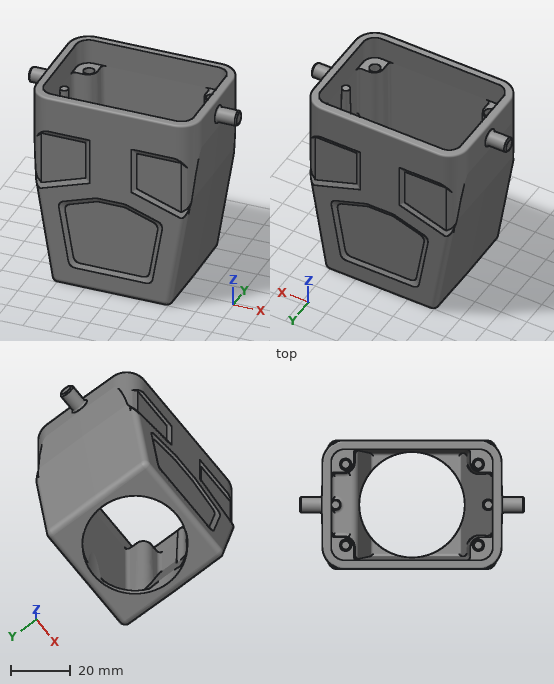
import cadquery as cq
import math

LENGTH = 75.0
HEIGHT = 72.0
DEPTH = 43.0
HALF_DEPTH = DEPTH / 2

RIM_HALF_WIDTH = 30.1
UPPER_BREAK_Z = 61.05
WAIST_HALF_WIDTH = 28.35
WAIST_Z = 42.2
BASE_HALF_WIDTH = 21.45
END_DRAFT = 0.5
EDGE_RADIUS = 2.1
BASE_CORNER_RADIUS = 2.5
CORNER_RADIUS = 7.5
RIM_RADIUS = 0.75

UPPER_BOTTOM_Z = 37.5

OVERSHOOT = 0.75
TOOL_OVERSIZE = 15.0
REACH = 0.75

RECESS_DEPTH = 0.75
WALL_RUN = 1.7
WALL_TAPER = math.degrees(math.atan(WALL_RUN / RECESS_DEPTH))
RIDGE_ANGLE = 18.8
RIDGE_SLOPE = math.tan(math.radians(RIDGE_ANGLE))

GRIP_INNER_X = 7.5
GRIP_TOP_Z = 59.1
GRIP_INNER_Z = 42.3
GRIP_FLOOR_END_X = 25.2
GRIP_CORNER_RADIUS = 1.1

PANEL_TOP_Z = 37.05
PANEL_BOTTOM_Z = 7.95
PANEL_TOP_HALF = 5.2
PANEL_SHOULDER_HALF = 19.0
PANEL_BOTTOM_HALF = 14.85
PANEL_CORNER_RADIUS = 6.75

OPENING_HALF_X = 27.0
OPENING_HALF_Y = 18.5
OPENING_RADIUS = 4.5
POST_TOP_Z = 63.0
POST_INNER_X = 19.4
POST_INNER_Y = 10.9
POST_RADIUS = 3.45
WELL_DRAFT = 1.3
FLOOR_Z = 3.0
FLOOR_LEFT_X = -13.65
FLOOR_RIGHT_X = 16.3
SHELF_Z = 44.25
SHELF_OUTER_X = -26.6
SHELF_INNER_X = -18.2
SHELF_EDGE_RADIUS = 2.4
SHELF_FOOT_RADIUS = 1.2
WELL_CORNER_RADIUS = 1.3
FLOOR_RADIUS = 0.9
CABLE_HOLE_RADIUS = 17.55

SCREW_X = 22.1
SCREW_Y = 13.5
SCREW_RADIUS = 1.4
SCREW_MOUTH_RADIUS = 1.95
SCREW_DEPTH = 15.0

RIB_X = 25.5
RIB_RADIUS = 1.4
RIB_DRAFT = 1.0

PIN_RADIUS = 2.6
PIN_Z = 65.9
PIN_CHAMFER = 0.5
PIN_ROOT_X = 30.0
PIN_ROOT_FLARE = 0.8
PIN_EMBED = 2.25


def both_faces(solid):
    """Repeat a feature of the front half on the rear half."""
    return solid.union(solid.mirror("XZ"))


def four_corners(solid):
    """Repeat a feature of the front right corner on all four corners."""
    return both_faces(solid.union(solid.mirror("YZ")))


def symmetric_points(right_points):
    """Close an outline by mirroring its right-hand points about X = 0."""
    return right_points + [(-x, z) for x, z in reversed(right_points)]


def drafted(sketch):
    """Extrude an XZ sketch both ways from the mid plane with the end-wall draft."""
    return both_faces(cq.Workplane("XZ").placeSketch(sketch).extrude(HALF_DEPTH, taper=END_DRAFT))


def polygon_sketch(points):
    return cq.Sketch().polygon(points + points[:1])


def sunk(sketch, depth):
    """Sink an XZ sketch into the front face, with sloping recess walls."""
    front = cq.Workplane("XZ", origin=(0, -HALF_DEPTH, 0))
    return front.placeSketch(sketch).extrude(-depth, taper=WALL_TAPER)


def rounded_prism(half_x, half_y, radius, bottom_z, top_z):
    base = cq.Workplane("XY", origin=(0, 0, bottom_z)).rect(2 * half_x, 2 * half_y)
    return base.extrude(top_z - bottom_z).edges("|Z").fillet(radius)


def above_ridge(inner_x, top_z, depth):
    """Wedge above the sloping lower edge of a grip recess, narrowing into the part."""
    outer_x = LENGTH

    def ridge_z(x):
        return GRIP_INNER_Z - RIDGE_SLOPE * (x - GRIP_INNER_X)

    outline = [
        (inner_x, ridge_z(inner_x)),
        (outer_x, ridge_z(outer_x)),
        (outer_x, top_z),
        (inner_x, top_z),
    ]
    return sunk(polygon_sketch(outline), depth)


def lower_shell():
    """Slanted base with rounded edges, ending in the ridges below the grip recesses."""
    outline = symmetric_points([(BASE_HALF_WIDTH, 0), (WAIST_HALF_WIDTH, WAIST_Z)])
    sketch = polygon_sketch(outline).vertices("<Y").fillet(BASE_CORNER_RADIUS)
    base = drafted(sketch)
    base = base.faces("<Y or >Y").edges("not >Z").fillet(EDGE_RADIUS)
    wedge = above_ridge(GRIP_INNER_X, HEIGHT + TOOL_OVERSIZE, CORNER_RADIUS)
    return base.cut(four_corners(wedge))


def upper_shell():
    """Upper part: a column with large round corners, narrowed below by the slanted ends."""
    face_half_width = RIM_HALF_WIDTH - HALF_DEPTH * math.tan(math.radians(END_DRAFT))
    plan = [
        (-face_half_width, -HALF_DEPTH),
        (face_half_width, -HALF_DEPTH),
        (RIM_HALF_WIDTH, 0),
        (face_half_width, HALF_DEPTH),
        (-face_half_width, HALF_DEPTH),
        (-RIM_HALF_WIDTH, 0),
    ]
    sketch = polygon_sketch(plan).vertices("<Y or >Y").fillet(CORNER_RADIUS)
    column = cq.Workplane("XY", origin=(0, 0, UPPER_BOTTOM_Z)).placeSketch(sketch)
    column = column.extrude(HEIGHT - UPPER_BOTTOM_Z).faces(">Z").edges().fillet(RIM_RADIUS)

    lower_slope = (WAIST_HALF_WIDTH - BASE_HALF_WIDTH) / WAIST_Z
    upper_slope = (RIM_HALF_WIDTH - WAIST_HALF_WIDTH) / (UPPER_BREAK_Z - WAIST_Z)
    start_z = UPPER_BOTTOM_Z - OVERSHOOT
    end_z = HEIGHT + OVERSHOOT
    silhouette = symmetric_points([
        (BASE_HALF_WIDTH + lower_slope * start_z, start_z),
        (WAIST_HALF_WIDTH, WAIST_Z),
        (WAIST_HALF_WIDTH + upper_slope * (end_z - WAIST_Z), end_z),
    ])
    return column.intersect(drafted(polygon_sketch(silhouette)))


def grip_recess():
    """Shallow recess at the front right corner, its floor falling away to the round corner."""
    floor_y = -HALF_DEPTH + RECESS_DEPTH
    outer_x = LENGTH / 2
    fall = (outer_x - GRIP_FLOOR_END_X) * RECESS_DEPTH / WALL_RUN
    plan = [
        (0, -DEPTH),
        (0, floor_y),
        (GRIP_FLOOR_END_X, floor_y),
        (outer_x, floor_y + fall),
        (outer_x, -DEPTH),
    ]
    floor = cq.Workplane("XY").polyline(plan).close().extrude(HEIGHT)
    walls = above_ridge(GRIP_INNER_X, GRIP_TOP_Z, RECESS_DEPTH + fall)
    walls = walls.faces("<X").edges("not #Y").fillet(GRIP_CORNER_RADIUS)
    return floor.intersect(walls)


def panel_recess():
    """House-shaped recess in the middle of the front face."""
    shoulder_z = PANEL_TOP_Z - RIDGE_SLOPE * (PANEL_SHOULDER_HALF - PANEL_TOP_HALF)
    outline = symmetric_points([
        (PANEL_BOTTOM_HALF, PANEL_BOTTOM_Z),
        (PANEL_SHOULDER_HALF, shoulder_z),
        (PANEL_TOP_HALF, PANEL_TOP_Z),
    ])
    return sunk(polygon_sketch(outline), RECESS_DEPTH).edges("not #Y").fillet(PANEL_CORNER_RADIUS)


def near_shelf(x):
    """Selector for the shelf edge that runs along Y at the given X."""
    low = (x - REACH, -DEPTH, SHELF_Z - REACH)
    high = (x + REACH, DEPTH, SHELF_Z + REACH)
    return cq.selectors.BoxSelector(low, high)


def within_posts(reach):
    """Selector for the inner corners of the posts, by their distance from the centre."""
    x = POST_INNER_X + reach
    y = POST_INNER_Y + reach
    return cq.selectors.BoxSelector((-x, -y, -HEIGHT), (x, y, HEIGHT))


def shelf_side_blend():
    """Concave blend from the flat of the shelf to the front post, following its round corner."""
    draft_offset = (POST_TOP_Z - SHELF_Z) * math.tan(math.radians(WELL_DRAFT))
    axis_x = -POST_INNER_X - POST_RADIUS
    axis_y = -POST_INNER_Y - POST_RADIUS
    post_surface = POST_RADIUS + draft_offset
    profile = (
        cq.Workplane("YZ", origin=(axis_x, axis_y, SHELF_Z))
        .moveTo(post_surface + SHELF_FOOT_RADIUS, 0)
        .radiusArc((post_surface, SHELF_FOOT_RADIUS), SHELF_FOOT_RADIUS)
        .lineTo(0, SHELF_FOOT_RADIUS)
        .lineTo(0, 0)
        .close()
    )
    straight = profile.extrude(-(OPENING_HALF_X + axis_x))
    flat_end = SHELF_INNER_X - SHELF_EDGE_RADIUS - axis_x
    turn = math.degrees(math.asin(flat_end / (post_surface + SHELF_FOOT_RADIUS)))
    around_post = profile.toPending().revolve(turn, (0, 0.75, 0), (0, 0, 0))
    return straight.union(around_post)


def well_cross():
    """Drafted cross-shaped well that leaves the four corner posts standing."""
    plan = (
        cq.Sketch()
        .rect(2 * POST_INNER_X, 2 * OPENING_HALF_Y)
        .rect(2 * OPENING_HALF_X, 2 * POST_INNER_Y)
        .clean()
        .reset()
        .vertices(within_posts(REACH))
        .fillet(POST_RADIUS)
    )
    top = cq.Workplane("XY", origin=(0, 0, POST_TOP_Z)).placeSketch(plan)
    cross = top.extrude(FLOOR_Z - POST_TOP_Z, taper=WELL_DRAFT)
    upright = cq.selectors.StringSyntaxSelector("not #Z")
    outer_corners = cq.selectors.SubtractSelector(upright, within_posts(POST_RADIUS))
    return cross.edges(outer_corners).fillet(WELL_CORNER_RADIUS)


def well_section():
    """Lengthwise section of the well: end walls, shelf on the left, sloping ends and floor."""
    outline = [
        (-OPENING_HALF_X, POST_TOP_Z),
        (SHELF_OUTER_X, SHELF_Z),
        (SHELF_INNER_X, SHELF_Z),
        (FLOOR_LEFT_X, FLOOR_Z),
        (FLOOR_RIGHT_X, FLOOR_Z),
        (-SHELF_OUTER_X, SHELF_Z),
        (OPENING_HALF_X, POST_TOP_Z),
    ]
    section = cq.Workplane("XZ").polyline(outline).close().extrude(HALF_DEPTH, both=True)
    section = section.edges("|Y").edges(near_shelf(SHELF_OUTER_X)).fillet(SHELF_FOOT_RADIUS)
    return section.edges("|Y").edges(near_shelf(SHELF_INNER_X)).fillet(SHELF_EDGE_RADIUS)


def well():
    """Lower cavity with rounded floor edges, shelf blends and room for the guide ribs."""
    cavity = well_cross().intersect(well_section())
    cavity = cavity.faces("<Z").edges().fillet(FLOOR_RADIUS)
    cavity = cavity.cut(both_faces(shelf_side_blend())).cut(rib_foot())
    for side in (-1, 1):
        cavity = cavity.cut(rib(side))
    return cavity


def rib(side):
    """Drafted guide rib standing against an end wall."""
    top = cq.Workplane("XY", origin=(side * RIB_X, 0, POST_TOP_Z)).circle(RIB_RADIUS)
    return top.extrude(FLOOR_Z - POST_TOP_Z, taper=-RIB_DRAFT)


def rib_foot():
    """Flared foot of the rib that stands on the shelf."""
    foot_radius = RIB_RADIUS + (POST_TOP_Z - SHELF_Z) * math.tan(math.radians(RIB_DRAFT))
    profile = (
        cq.Workplane("XZ", origin=(-RIB_X, 0, SHELF_Z))
        .lineTo(foot_radius + SHELF_FOOT_RADIUS, 0)
        .radiusArc((foot_radius, SHELF_FOOT_RADIUS), SHELF_FOOT_RADIUS)
        .lineTo(0, SHELF_FOOT_RADIUS)
        .close()
    )
    return profile.revolve(360, (0, 0, 0), (0, 1, 0))


def screw_hole():
    """Blind hole in the front right post, narrowing slightly downwards."""
    top = cq.Workplane("XY", origin=(SCREW_X, -SCREW_Y, POST_TOP_Z)).circle(SCREW_MOUTH_RADIUS)
    taper = math.degrees(math.atan((SCREW_MOUTH_RADIUS - SCREW_RADIUS) / SCREW_DEPTH))
    return top.extrude(-SCREW_DEPTH, taper=taper)


def locking_pin():
    """Right-hand pin with a chamfered tip and a flared root."""
    tip_x = LENGTH / 2
    profile = (
        cq.Workplane("XZ")
        .moveTo(PIN_ROOT_X - PIN_EMBED, 0)
        .lineTo(PIN_ROOT_X - PIN_EMBED, PIN_RADIUS + PIN_ROOT_FLARE)
        .lineTo(PIN_ROOT_X, PIN_RADIUS + PIN_ROOT_FLARE)
        .radiusArc((PIN_ROOT_X + PIN_ROOT_FLARE, PIN_RADIUS), -PIN_ROOT_FLARE)
        .lineTo(tip_x - PIN_CHAMFER, PIN_RADIUS)
        .lineTo(tip_x, PIN_RADIUS - PIN_CHAMFER)
        .lineTo(tip_x, 0)
        .close()
    )
    return profile.revolve(360, (0, 0, 0), (1, 0, 0)).translate((0, 0, PIN_Z))


result = lower_shell().union(upper_shell())
result = result.cut(four_corners(grip_recess()))
result = result.cut(both_faces(panel_recess()))

opening = rounded_prism(OPENING_HALF_X, OPENING_HALF_Y, OPENING_RADIUS, POST_TOP_Z, HEIGHT)
cable_hole = cq.Workplane("XY").circle(CABLE_HOLE_RADIUS).extrude(POST_TOP_Z)
result = result.cut(opening).cut(well())
result = result.cut(four_corners(screw_hole()))
result = result.cut(cable_hole)

pin = locking_pin()
result = result.union(pin).union(pin.mirror("YZ"))